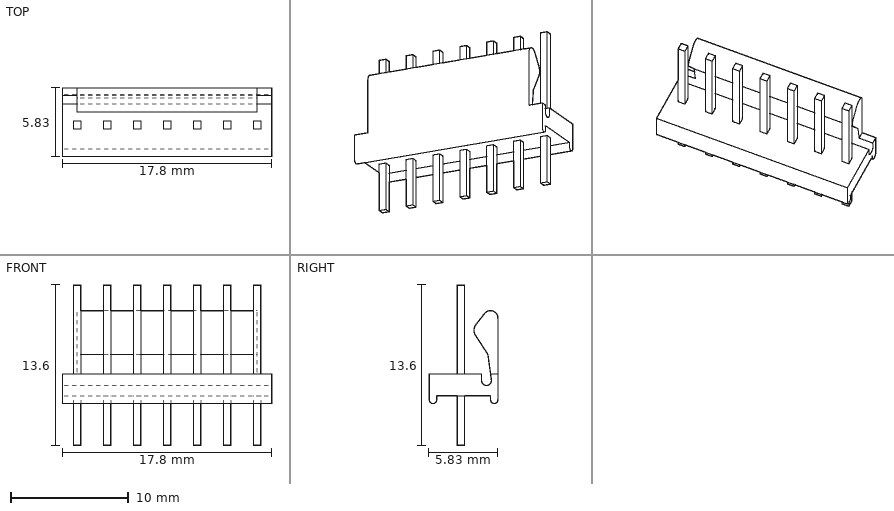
import cadquery as cq
import math

length = 17.78
depth = 5.83
base_top = 2.52
underside = 0.65
foot_width = 0.64
foot_radius = foot_width / 2

slot_front = 1.39
slot_bottom = 1.55

root_thickness = 0.64
neck_thickness = 0.87
neck_height = 4.18
latch_top = 7.9
head_radius = 0.64
nose_radius = 0.78
nose_reach = 2.05
nose_height = 6.22

pin_count = 7
pin_pitch = 2.55
pin_width = 0.64
pin_distance = 3.15
pin_bottom = -3.54
pin_length = 13.58
latch_length = (pin_count - 1) * pin_pitch


def on_circle(center, radius, angle):
    return (center[0] + radius * math.cos(angle), center[1] + radius * math.sin(angle))


def extrude_along_x(profile, width):
    """Extrude a YZ profile, centred on X = 0."""
    return profile.extrude(width / 2, both=True)


def make_base():
    """Block with two round-tipped feet running along its length."""
    block = cq.Workplane("YZ").moveTo(-depth, underside).lineTo(-depth, base_top)
    block = extrude_along_x(block.lineTo(0, base_top).lineTo(0, underside).close(), length)
    for back_edge in (0, foot_width - depth):
        front_edge = back_edge - foot_width
        foot = (
            cq.Workplane("YZ")
            .moveTo(front_edge, underside)
            .lineTo(front_edge, foot_radius)
            .threePointArc((back_edge - foot_radius, 0), (back_edge, foot_radius))
            .lineTo(back_edge, underside)
            .close()
        )
        block = block.union(extrude_along_x(foot, length))
    return block


def make_slot():
    """Round-bottomed slot whose back wall continues the slope of the latch neck."""
    slope = (neck_thickness - root_thickness) / (neck_height - base_top)
    slot_depth = base_top - slot_bottom

    radius = (slot_front - root_thickness + slope * slot_depth) / (1 + slope + math.hypot(1, slope))
    center = (radius - slot_front, slot_bottom + radius)
    profile = (
        cq.Workplane("YZ")
        .moveTo(-slot_front, base_top)
        .lineTo(-slot_front, center[1])
        .threePointArc((center[0], slot_bottom), on_circle(center, radius, math.atan(slope)))
        .lineTo(-root_thickness, base_top)
        .close()
    )
    return extrude_along_x(profile, length)


def make_latch():
    """Upright latch with a rounded top and a rounded, forward-reaching nose."""
    top_center = (-head_radius, latch_top - head_radius)
    nose_center = (nose_radius - nose_reach, nose_height)

    span = (nose_center[0] - top_center[0], nose_center[1] - top_center[1])
    span_angle = math.atan2(span[1], span[0]) % (math.pi * 2)
    ramp_normal = span_angle - math.acos((head_radius - nose_radius) / math.hypot(*span))
    top_middle = ramp_normal / 2

    neck = (-neck_thickness, neck_height)
    neck_offset = (neck[0] - nose_center[0], neck[1] - nose_center[1])
    neck_angle = math.atan2(neck_offset[1], neck_offset[0]) % (math.pi * 2)
    tangent_normal = neck_angle - math.acos(nose_radius / math.hypot(*neck_offset))
    nose_middle = (ramp_normal + tangent_normal) / 2

    profile = (
        cq.Workplane("YZ")
        .moveTo(0, base_top)
        .lineTo(0, top_center[1])
        .threePointArc(
            on_circle(top_center, head_radius, top_middle),
            on_circle(top_center, head_radius, ramp_normal),
        )
        .lineTo(*on_circle(nose_center, nose_radius, ramp_normal))
        .threePointArc(
            on_circle(nose_center, nose_radius, nose_middle),
            on_circle(nose_center, nose_radius, tangent_normal),
        )
        .lineTo(*neck)
        .lineTo(-root_thickness, base_top)
        .close()
    )
    return extrude_along_x(profile, latch_length)


def make_pins():
    """Row of square pins passing through the base."""
    return (
        cq.Workplane("XY", origin=(0, -pin_distance, pin_bottom))
        .rarray(pin_pitch, 0.18, pin_count, 1)
        .rect(pin_width, pin_width)
        .extrude(pin_length)
    )


result = make_base().cut(make_slot()).union(make_latch()).union(make_pins())